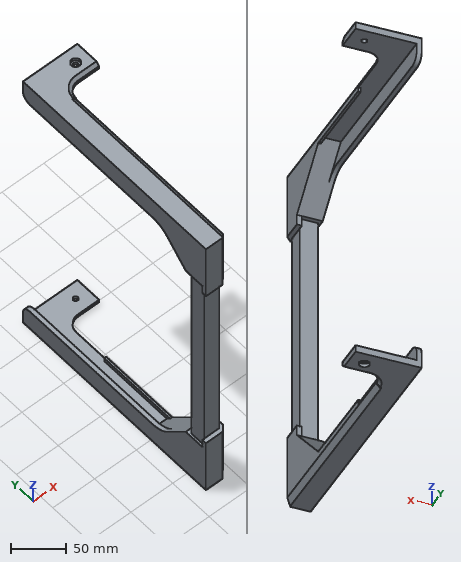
import cadquery as cq
import math

frame_height = 360.0
frame_depth = 252.0
half_height = frame_height / 2

arm_width = 25.5
arm_height = 25.5
wall = 5.0
floor_thickness = 7.2
arm_tip_radius = 10.0
lip_height = 11.5
lip_thickness = 2.5
lip_back_y = 166.5

post_height = 70.2
ledge_height = 59.8
post_depth = 27.7
front_wall = 5.0
arm_root_radius = 28.8
slope_foot_y = post_depth + ledge_height

flange_reach = 65.0
flange_depth = 30.0
flange_corner_radius = 14.5
flange_front_y = frame_depth - flange_depth
arm_end_y = flange_front_y - flange_corner_radius
flange_chamfer = 3.5

hole_x = 50.0
hole_y = frame_depth - flange_depth / 2
hole_diameter = 5.5
counterbore_diameter = 10.0
counterbore_depth = 3.5

arm_bevel_size = 5.0
post_bevel_size = 5.8

tube_side = 18.0
tube_x = arm_width - wall - tube_side


def box(x_range, y_range, z_range):
    """Axis-aligned box between pairs of limits."""
    size = [high - low for low, high in (x_range, y_range, z_range)]
    corner = (x_range[0], y_range[0], z_range[0])
    return cq.Workplane("XY").box(*size, centered=False).translate(corner)


def side_plate(points, x_start, x_end):
    """Plate with a (y, z) outline, running from x_start to x_end."""
    outline = cq.Workplane("YZ").workplane(offset=x_start).polyline(points).close()
    return outline.extrude(x_end - x_start)


def make_side_wall():
    """Wall on the -X side with its rounded tip and the curved root at the post."""
    outline = [
        (0, 0),
        (frame_depth, 0),
        (frame_depth, arm_height),
        (slope_foot_y - arm_height, arm_height),
        (post_depth, ledge_height),
        (0, ledge_height),
    ]
    plate = side_plate(outline, 0, wall)
    tip = cq.selectors.NearestToPointSelector((wall / 2, frame_depth, arm_height))
    root = cq.selectors.NearestToPointSelector((wall / 2, slope_foot_y - arm_height, arm_height))
    plate = plate.edges("|X").edges(tip).fillet(arm_tip_radius)
    return plate.edges("|X").edges(root).fillet(arm_root_radius)


def make_post_and_floor():
    """Arm floor, rising along the slope into the solid post."""
    outline = [
        (0, 0),
        (frame_depth, 0),
        (frame_depth, floor_thickness),
        (slope_foot_y - floor_thickness, floor_thickness),
        (post_depth, ledge_height),
        (0, ledge_height),
    ]
    return side_plate(outline, 0, arm_width)


def make_lip():
    """Low lip along the +X edge of the arm, its front end buried in the slope of the post."""
    return box((arm_width - lip_thickness, arm_width), (post_depth, lip_back_y), (0, lip_height))


def make_tube_guard():
    """Front and +X walls that rise past the ledge beside the tube."""
    guard = box((0, arm_width), (0, post_depth), (ledge_height, post_height))
    recess = box((0, arm_width - wall), (front_wall, post_depth), (ledge_height, post_height))
    return guard.cut(recess)


def make_flange():
    """Mounting flange with a rounded inner corner and a chamfer along its front edge."""
    radius = flange_corner_radius
    arc_centre_x = arm_width + radius

    def plate(inset, height):
        """Flange outline with its inner edge moved back by inset."""
        reach = radius + inset
        mid = reach * math.cos(math.radians(45))
        return (
            cq.Workplane("XY")
            .workplane(offset=height)
            .moveTo(wall, arm_end_y)
            .lineTo(arc_centre_x - reach, arm_end_y)
            .threePointArc((arc_centre_x - mid, arm_end_y + mid), (arc_centre_x, arm_end_y + reach))
            .lineTo(flange_reach, arm_end_y + reach)
            .lineTo(flange_reach, frame_depth)
            .lineTo(wall, frame_depth)
            .close()
        )

    upper = plate(0, flange_chamfer).extrude(floor_thickness - flange_chamfer)
    wires = [plate(flange_chamfer, 0).val(), plate(0, flange_chamfer).val()]
    lower = cq.Workplane(cq.Solid.makeLoft(wires, True))
    return upper.union(lower)


def cut_bevels(body):
    """Bevel the outer +X edge of the arm and the front +X edge of the post."""
    arm_bevel = (
        cq.Workplane("XZ")
        .polyline([(arm_width - arm_bevel_size, 0), (arm_width, 0), (arm_width, arm_bevel_size)])
        .close()
        .extrude(-arm_end_y)
    )
    post_bevel = (
        cq.Workplane("XY")
        .polyline([(arm_width - post_bevel_size, 0), (arm_width, 0), (arm_width, post_bevel_size)])
        .close()
        .extrude(post_height)
    )
    return body.cut(arm_bevel).cut(post_bevel)


def cut_screw_hole(body):
    """Counterbored hole entering the flange from its outer face."""
    hole = cq.Workplane("XY").center(hole_x, hole_y).circle(hole_diameter / 2).extrude(floor_thickness)
    counterbore = (
        cq.Workplane("XY").center(hole_x, hole_y).circle(counterbore_diameter / 2).extrude(counterbore_depth)
    )
    return body.cut(hole).cut(counterbore)


def make_bracket():
    """Lower bracket, its outer face on z = 0."""
    floor_end = box((wall, arm_width), (arm_end_y, frame_depth), (0, floor_thickness))
    body = make_post_and_floor().cut(floor_end)
    body = body.union(make_flange()).union(make_side_wall())
    body = body.union(make_lip()).union(make_tube_guard())
    return cut_screw_hole(cut_bevels(body))


def make_tube():
    """Square tube standing on the ledges of both brackets."""
    half_length = half_height - ledge_height
    return box(
        (tube_x, tube_x + tube_side),
        (front_wall, front_wall + tube_side),
        (-half_length, half_length),
    )


lower_bracket = make_bracket().translate((0, 0, -half_height))
brackets = [lower_bracket, lower_bracket.mirror("XY")]
tube = make_tube()

result = cq.Compound.makeCompound([*[bracket.val() for bracket in brackets], tube.val()])